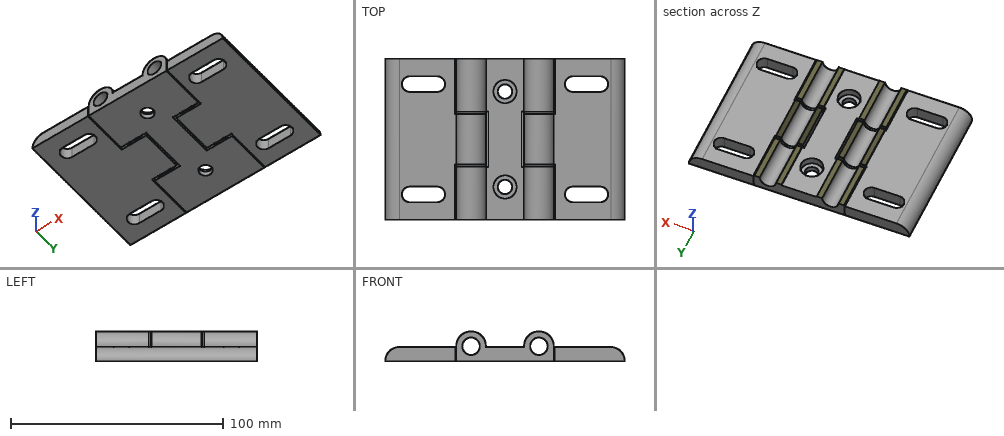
import cadquery as cq

overall_length = 113.0
width = 76.0
overall_height = 14.1
plate_thickness = 6.8
half_length = overall_length / 2
half_width = width / 2

hinge_z = overall_height / 2
knuckle_radius = overall_height - hinge_z
pin_bore_diameter = 8.1
hinge_spacing = 32.0
hinge_x = hinge_spacing / 2

notch_length = 26.1
leaf_knuckle_length = 23.6
spacer_thickness = 1.1
spacer_y = (notch_length - spacer_thickness) / 2

leaf_edge_clearance = 0.5
notch_clearance = 1.0
leaf_edge_x = hinge_x + knuckle_radius + leaf_edge_clearance
notch_inner_x = hinge_x - knuckle_radius - notch_clearance

slot_length = 20.2
slot_width = 7.2
slot_x = 38.4
slot_y = 26.0

screw_hole_diameter = 6.7
counterbore_diameter = 11.0
counterbore_depth = 3.8
screw_y = 22.5


def block(x_min, x_max, length, height):
    """Box standing on the base plane, centred on Y."""
    return (
        cq.Workplane("XY")
        .box(x_max - x_min, length, height, centered=(False, True, False))
        .translate((x_min, 0, 0))
    )


def hinge_cylinder(diameter, length, side, y=0):
    """Cylinder about the hinge axis on one side, centred at y."""
    return (
        cq.Workplane("XZ", origin=(side * hinge_x, y + length / 2, hinge_z))
        .circle(diameter / 2)
        .extrude(length)
    )


def knuckle(length, side):
    """Barrel with its square foot, centred on Y and not yet bored."""
    centre_x = side * hinge_x
    foot = block(centre_x - knuckle_radius, centre_x + knuckle_radius, length, hinge_z)
    return foot.union(hinge_cylinder(2 * knuckle_radius, length, side))


def make_centre_plate():
    """Fixed plate with a notched knuckle along each long edge and two screw holes."""
    plate = block(-hinge_x, hinge_x, width, plate_thickness)
    for side in (-1, 1):
        plate = plate.union(knuckle(width, side))
    for side in (-1, 1):
        notch_x = sorted((side * notch_inner_x, side * leaf_edge_x))
        plate = plate.cut(block(*notch_x, notch_length, overall_height))
        plate = plate.cut(hinge_cylinder(pin_bore_diameter, width, side))
    return (
        plate.copyWorkplane(cq.Workplane("XY", origin=(0, 0, plate_thickness)))
        .pushPoints([(0, -screw_y), (0, screw_y)])
        .cboreHole(screw_hole_diameter, counterbore_diameter, counterbore_depth)
    )


def make_leaf(side):
    """Outer leaf with a rounded free edge, two slots and one central knuckle."""
    edge_start_x = half_length - plate_thickness
    edge_mid = plate_thickness * 0.5**0.5
    leaf = (
        cq.Workplane("XZ", origin=(0, half_width, 0))
        .moveTo(side * leaf_edge_x, 0)
        .lineTo(side * half_length, 0)
        .threePointArc(
            (side * (edge_start_x + edge_mid), edge_mid),
            (side * edge_start_x, plate_thickness),
        )
        .lineTo(side * leaf_edge_x, plate_thickness)
        .close()
        .extrude(width)
    )
    slots = (
        cq.Workplane("XY")
        .pushPoints([(side * slot_x, -slot_y), (side * slot_x, slot_y)])
        .slot2D(slot_length, slot_width)
        .extrude(plate_thickness)
    )
    bridge_x = sorted((side * hinge_x, side * leaf_edge_x))
    bridge = block(*bridge_x, leaf_knuckle_length, plate_thickness)
    bore = hinge_cylinder(pin_bore_diameter, leaf_knuckle_length, side)
    return leaf.cut(slots).union(bridge).union(knuckle(leaf_knuckle_length, side)).cut(bore)


def make_spacer(side, end):
    """Ring in the gap between a leaf knuckle and the centre plate knuckle beside it."""
    ring = hinge_cylinder(2 * knuckle_radius, spacer_thickness, side, end * spacer_y)
    return ring.cut(hinge_cylinder(pin_bore_diameter, width, side))


centre_plate = make_centre_plate()
leaves = [make_leaf(side) for side in (-1, 1)]
spacers = [make_spacer(side, end) for side in (-1, 1) for end in (-1, 1)]

result = cq.Compound.makeCompound(
    [
        centre_plate.val(),
        *[leaf.val() for leaf in leaves],
        *[spacer.val() for spacer in spacers],
    ]
)